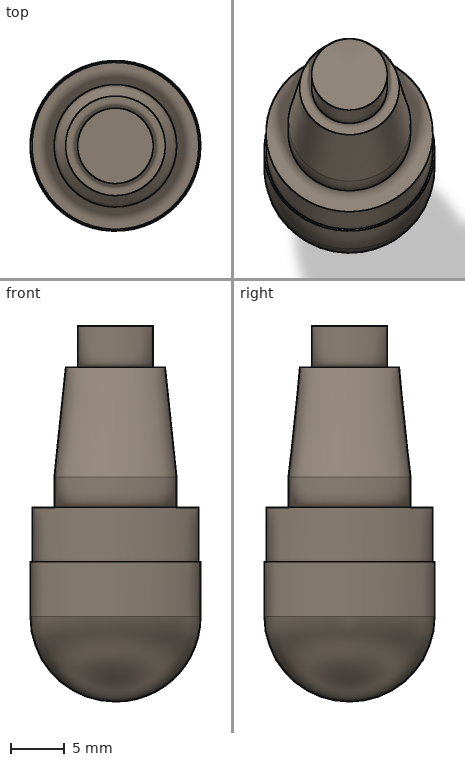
import cadquery as cq

total_height = 35.0
stud_height = 3.85
taper_height = 10.22
neck_height = 2.85
collar_height = 5.08

cap_diameter = 15.9
collar_diameter = 15.55
neck_diameter = 11.4
taper_top_diameter = 9.28
stud_diameter = 7.05

taper_top = total_height - stud_height
neck_top = taper_top - taper_height
collar_top = neck_top - neck_height
cap_top = collar_top - collar_height

cap_radius = cap_diameter / 2


def make_cap():
    """Cylindrical cap with a hemispherical lower end."""
    blank = cq.Workplane("XY").circle(cap_radius).extrude(cap_top - cap_radius)
    blank = blank.translate((0, 0, cap_radius))
    dome = cq.Workplane("XY").sphere(cap_radius).translate((0, 0, cap_radius))
    lower_half = cq.Workplane("XY").circle(cap_diameter).extrude(cap_radius)
    return blank.union(dome.intersect(lower_half))


def make_stem():
    """Collar, neck, taper and stud, turned as one piece standing on the cap."""
    profile = (
        cq.Workplane("XZ")
        .moveTo(0, cap_top)
        .lineTo(collar_diameter / 2, cap_top)
        .lineTo(collar_diameter / 2, collar_top)
        .lineTo(neck_diameter / 2, collar_top)
        .lineTo(neck_diameter / 2, neck_top)
        .lineTo(taper_top_diameter / 2, taper_top)
        .lineTo(stud_diameter / 2, taper_top)
        .lineTo(stud_diameter / 2, total_height)
        .lineTo(0, total_height)
        .close()
    )
    return profile.revolve(360, (0, 0, 0), (0, 1, 0))


cap = make_cap()
stem = make_stem()

result = cq.Compound.makeCompound([cap.val(), stem.val()])